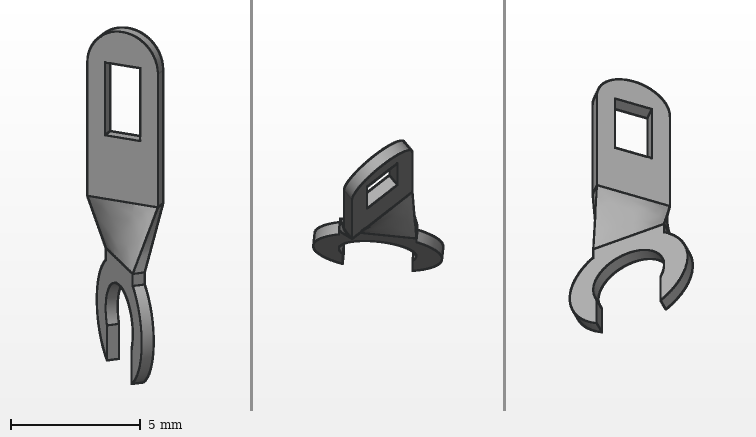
import cadquery as cq

strip_width = 3.0
strip_thickness = 0.5

blade_length = 7.0
window_width = 1.5
window_height = 3.0
window_tip_gap = 1.38

neck_length = 2.5
twist_angle = -45.0

ring_outer_radius = 2.5
ring_bore_radius = 1.5
mouth_width = 2.7
tab_top = 2.5

neck_top = tab_top + neck_length
blade_top = neck_top + blade_length


def make_blade():
    """Flat strip in the XZ plane, round at the tip, with its window."""
    tip_radius = strip_width / 2
    shoulder = blade_top - tip_radius
    outline = (
        cq.Workplane("XZ")
        .moveTo(-tip_radius, neck_top)
        .lineTo(tip_radius, neck_top)
        .lineTo(tip_radius, shoulder)
        .threePointArc((0, blade_top), (-tip_radius, shoulder))
        .close()
    )
    strip = outline.extrude(strip_thickness / 2, both=True)
    window_centre = blade_top - window_tip_gap - window_height / 2
    window = cq.Workplane("XY").box(window_width, strip_thickness, window_height)
    return strip.cut(window.translate((0, 0, window_centre)))


def strip_section(height, angle):
    """Closed strip cross-section at a height, turned about Z."""
    section = cq.Workplane("XY").rect(strip_width, strip_thickness).val()
    turned = section.rotate(cq.Vector(0, 0, 0), cq.Vector(0, 0, 1), angle)
    return turned.translate(cq.Vector(0, 0, height))


def make_neck():
    """Straight-edged transition between the clip tab and the blade."""
    sections = [strip_section(tab_top, twist_angle), strip_section(neck_top, 0)]
    return cq.Workplane(cq.Solid.makeLoft(sections, True))


def make_clip():
    """Ring open at the bottom with a short tab on top, turned to the twist angle."""
    ring = cq.Workplane("XZ").circle(ring_outer_radius).extrude(strip_thickness / 2, both=True)
    tab = cq.Workplane("XY").box(strip_width, strip_thickness, tab_top, centered=(True, True, False))
    bore = cq.Workplane("XZ").circle(ring_bore_radius).extrude(strip_thickness, both=True)
    mouth = cq.Workplane("XY").box(mouth_width, strip_thickness, ring_outer_radius)
    mouth = mouth.translate((0, 0, -ring_outer_radius / 2))
    clip = ring.union(tab).cut(bore).cut(mouth)
    return clip.rotate((0, 0, 0), (0, 0, 1), twist_angle)


blade = make_blade()
neck = make_neck()
clip = make_clip()

result = cq.Compound.makeCompound([blade.solids().val(), neck.val(), clip.solids().val()])